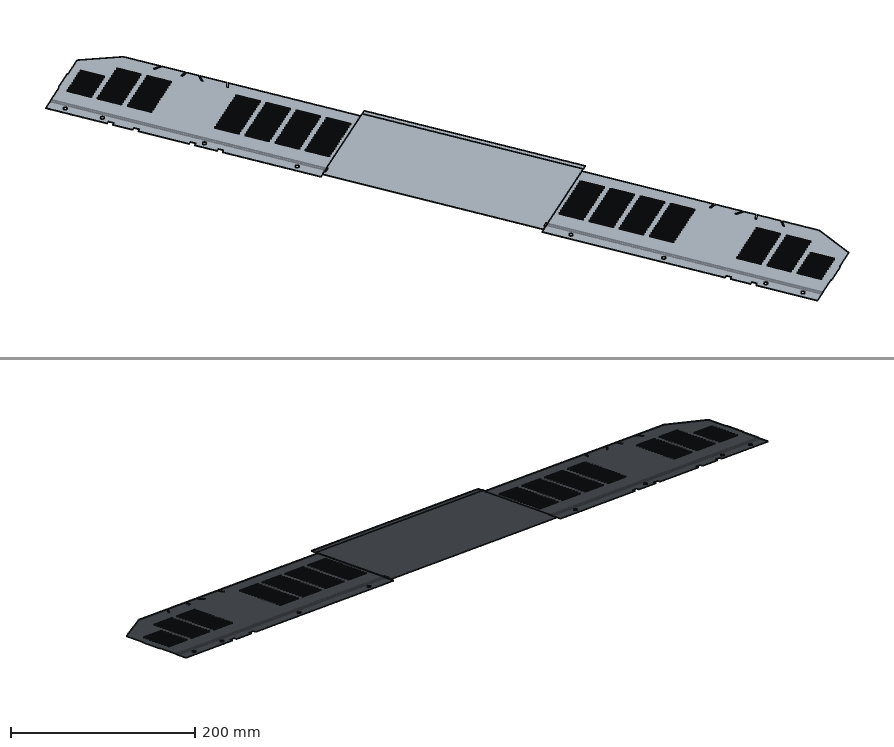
import cadquery as cq

length = 905.0
width = 125.0
height = 1.9
cut_height = 2 * height
front_y = -width / 2
back_y = width / 2

sheet = 1.0
level_step = (height - sheet) / 2
flange_z = -height / 2
wing_z = flange_z + level_step
panel_z = wing_z + level_step

panel_half = 129.0
panel_front_y = -59.0
panel_step_y = 56.0
relief_width = 2.0
relief_front_y = -53.0

tab_reach = 1.0
tab_front_y = -23.5
tab_back_y = 2.0
wing_half = length / 2 - tab_reach
wing_back_y = 52.5
clip_start_x = 407.0
clip_end_y = 28.0
bend_back_y = -47.0
bend_front_y = -50.0

vent_pitch = 35.0
outer_vent_x = 427.0
inner_vent_x = 254.0
end_rows = 9
middle_rows = 13
inner_rows = 14
vent_columns = [(outer_vent_x, end_rows)]
vent_columns += [(outer_vent_x - i * vent_pitch, middle_rows) for i in (1, 2)]
vent_columns += [(inner_vent_x - i * vent_pitch, inner_rows) for i in range(4)]
slot_length = 29.0
slot_width = 2.35
slot_pitch = 4.6
front_slot_y = -25.0

flange_hole_diameter = 4.5
flange_hole_y = -55.0
flange_hole_xs = (160.0, 269.0, 388.0, 431.5)
notch_width = 6.0
notch_depth = 4.0
shared_notch_xs = (346.5, 376.0)
left_only_notch_xs = (248.0, 280.0)

slit_width = 2.0
slit_depth = 7.0
slits = [(363.0, 368.0), (334.0, 336.0), (318.0, 312.0), (285.0, 282.0)]


def block(x0, x1, y0, y1, z0, z1):
    """Box between two opposite corners."""
    return cq.Workplane("XY").box(x1 - x0, y1 - y0, z1 - z0, centered=False).translate((x0, y0, z0))


def cutter():
    """Sketch plane below the part, for cuts that pass right through it."""
    return cq.Workplane("XY").workplane(offset=-height)


def wing_sheet():
    """Right wing bent down to its flange, trimmed at the clipped corner."""
    profile = [
        (front_y, flange_z),
        (bend_front_y, flange_z),
        (bend_back_y, wing_z),
        (wing_back_y, wing_z),
        (wing_back_y, wing_z + sheet),
        (bend_back_y, wing_z + sheet),
        (bend_front_y, flange_z + sheet),
        (front_y, flange_z + sheet),
    ]
    wing = (
        cq.Workplane("YZ")
        .workplane(offset=panel_half)
        .polyline(profile)
        .close()
        .extrude(wing_half - panel_half)
    )
    corner = (
        cutter()
        .polyline([(clip_start_x, wing_back_y), (wing_half, wing_back_y), (wing_half, clip_end_y)])
        .close()
        .extrude(cut_height)
    )
    tab = block(wing_half, length / 2, tab_front_y, tab_back_y, wing_z, wing_z + sheet)
    return wing.cut(corner).union(tab)


def vent_cuts():
    """Rounded slots stacked in columns."""
    points = [
        (x, front_slot_y + row * slot_pitch)
        for x, rows in vent_columns
        for row in range(rows)
    ]
    return cutter().pushPoints(points).slot2D(slot_length, slot_width).extrude(cut_height)


def flange_hole_cuts():
    points = [(x, flange_hole_y) for x in flange_hole_xs]
    return cutter().pushPoints(points).circle(flange_hole_diameter / 2).extrude(cut_height)


def notch_cuts(xs):
    """Rectangular notches in the front edge of the flange."""
    points = [(x, front_y) for x in xs]
    return cutter().pushPoints(points).rect(notch_width, 2 * notch_depth).extrude(cut_height)


def slit_cut(edge_x, inner_x):
    """Parallel-sided slit running from the back edge to its inner end."""
    half = slit_width / 2
    inner_y = wing_back_y - slit_depth
    outline = [
        (edge_x - half, wing_back_y),
        (edge_x + half, wing_back_y),
        (inner_x + half, inner_y),
        (inner_x - half, inner_y),
    ]
    return cutter().polyline(outline).close().extrude(cut_height)


def centre_panel():
    """Raised panel, its lower back strip and the bend reliefs at its sides."""
    panel = block(-panel_half, panel_half, panel_front_y, panel_step_y, panel_z, panel_z + sheet)
    strip = block(-panel_half, panel_half, panel_step_y, back_y, wing_z, wing_z + sheet)
    panel = panel.union(strip)
    relief = block(
        panel_half - relief_width, panel_half, relief_front_y, bend_back_y, -height, height
    )
    return panel.cut(relief).cut(relief.mirror("YZ"))


right_wing = wing_sheet().cut(vent_cuts()).cut(flange_hole_cuts()).cut(notch_cuts(shared_notch_xs))
for edge_x, inner_x in slits:
    right_wing = right_wing.cut(slit_cut(edge_x, inner_x))
left_wing = right_wing.cut(notch_cuts(left_only_notch_xs)).mirror("YZ")

result = centre_panel().union(right_wing).union(left_wing)